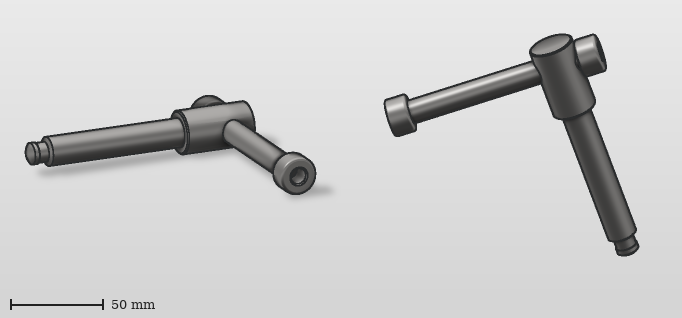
import cadquery as cq
import math

head_diameter = 24.0
head_length = 40.0
head_edge_inset = 0.8
head_front_bevel = 0.8
head_back_bevel = 0.5

overall_length = 130.0
spindle_diameter = 16.0
neck_diameter = 11.0
collar_diameter = 12.0
dome_height = 2.3
collar_length = 2.7
neck_length = 5.6
shoulder_length = 1.4

overall_width = 120.0
bar_diameter = 13.0
bar_setback = 12.9
knob_diameter = 20.8
knob_length = 12.0
knob_clearance = 0.06
knob_edge_radius = 1.5
bore_diameter = 8.7
bore_mouth_diameter = 10.4
bore_depth = knob_length

head_back = bar_setback
head_front = head_back - head_length
tip_end = head_back - overall_length
bar_left = -(head_diameter / 2 + knob_clearance + knob_length)
bar_right = bar_left + overall_width


def make_head():
    radius = head_diameter / 2
    face_radius = radius - head_edge_inset
    profile = (
        cq.Workplane("XY")
        .moveTo(0, head_front)
        .lineTo(face_radius, head_front)
        .lineTo(radius, head_front + head_front_bevel)
        .lineTo(radius, head_back - head_back_bevel)
        .lineTo(face_radius, head_back)
        .lineTo(0, head_back)
        .close()
    )
    return profile.revolve(360, (0, 0, 0), (0, 1, 0))


def make_spindle():
    collar_radius = collar_diameter / 2
    dome_radius = (collar_radius**2 + dome_height**2) / (2 * dome_height)
    half_angle = math.asin(collar_radius / dome_radius) / 2
    dome_middle = (
        dome_radius * math.sin(half_angle),
        tip_end + dome_radius * (1 - math.cos(half_angle)),
    )
    collar_start = tip_end + dome_height
    neck_start = collar_start + collar_length
    shoulder_start = neck_start + neck_length
    shaft_start = shoulder_start + shoulder_length
    profile = (
        cq.Workplane("XY")
        .moveTo(0, tip_end)
        .threePointArc(dome_middle, (collar_radius, collar_start))
        .lineTo(collar_radius, neck_start)
        .lineTo(neck_diameter / 2, neck_start)
        .lineTo(neck_diameter / 2, shoulder_start)
        .lineTo(spindle_diameter / 2, shaft_start)
        .lineTo(spindle_diameter / 2, 0)
        .lineTo(0, 0)
        .close()
    )
    return profile.revolve(360, (0, 0, 0), (0, 1, 0))


def make_bar():
    return (
        cq.Workplane("YZ", origin=(bar_left, 0, 0))
        .circle(bar_diameter / 2)
        .extrude(overall_width)
    )


def make_knob(start):
    return (
        cq.Workplane("YZ", origin=(start, 0, 0))
        .circle(knob_diameter / 2)
        .extrude(knob_length)
        .edges()
        .fillet(knob_edge_radius)
    )


def make_bore(face, inward):
    """Blind bore with a 45 degree countersink; inward is +1 or -1 along X."""
    mouth_radius = bore_mouth_diameter / 2
    bore_radius = bore_diameter / 2
    countersink_depth = mouth_radius - bore_radius
    profile = (
        cq.Workplane("XY")
        .moveTo(face, 0)
        .lineTo(face, mouth_radius)
        .lineTo(face + inward * countersink_depth, bore_radius)
        .lineTo(face + inward * bore_depth, bore_radius)
        .lineTo(face + inward * bore_depth, 0)
        .close()
    )
    return profile.revolve(360, (0, 0, 0), (1, 0, 0))


result = make_head().union(make_spindle()).union(make_bar())
for knob_start in (bar_left, bar_right - knob_length):
    result = result.union(make_knob(knob_start))
for end_face, inward in ((bar_left, 1), (bar_right, -1)):
    result = result.cut(make_bore(end_face, inward))